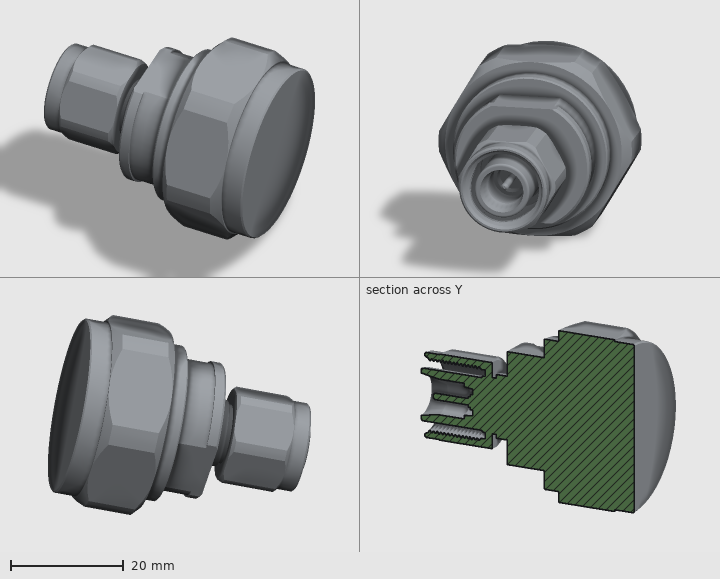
import cadquery as cq
import math


TUBE_R = 4.95
TUBE_ROUND = 0.45
MOUTH_R = 3.9
BORE_R = 3.25
BORE_TAPER_LENGTH = 3.6
BORE_FLOOR = 8.6
WELL_MOUTH_R = 2.62
WELL_FLOOR_R = 2.45
WELL_FLOOR = 10.3
PIN_TIP = 2.35
PIN_TIP_R = 0.25
PIN_R = 0.65
PIN_STEPS = ((1.05, 9.45), (1.45, 9.9))

NUT_FRONT = 0.7
NUT_SLEEVE_R = 7.95
NUT_SLEEVE_CHAMFER = 0.35
NUT_HEX_FRONT = 3.65
NUT_HEX_REAR = 14.35
NUT_HALF_FLATS = 8.05
NUT_CORNER_R = 8.77
NUT_REAR_BEVEL = 0.6
NUT_MOUTH_R = 7.25
NUT_MOUTH_DEPTH = 0.7
NUT_FLOOR = 12.9
THREAD_CREST_R = 6.35
THREAD_ROOT_R = 6.9
THREAD_START = 1.8
THREAD_PITCH = 0.75
THREAD_TURNS = 14

NECK_FRONT = 12.45
NECK_R = 5.3
COLLAR_FRONT = 15.1
COLLAR_R = 5.98
COLLAR_CHAMFER = 0.17

FLANGE_FRONT = 17.3
FLANGE_REAR = 19.35
FLANGE_R = 12.25
FLANGE_CHAMFER = 0.4
BODY_R = 11.85
BODY_HALF_FLATS = 10.55

RING_FRONT = 24.72
RING_R = 14.0
RING_CHAMFER = 0.25
BIG_HEX_FRONT = 27.7
BIG_HEX_REAR = 39.15
BIG_HALF_FLATS = 16.0
BIG_CORNER_R = 17.5
SLEEVE_R = 15.7
SLEEVE_CHAMFER = 0.25
REAR_END = 43.0


def revolved(profile):
    """Solid of revolution about X from a closed (x, radius) outline."""
    return cq.Workplane("XY").polyline(profile).close().revolve(360, (0, 0, 0), (1, 0, 0))


def cylinder(x_front, x_rear, radius):
    return cq.Workplane("YZ").workplane(offset=x_front).circle(radius).extrude(x_rear - x_front)


def beveled_hex(x_front, x_rear, half_flats, corner_r, front_bevel, rear_bevel):
    """Hexagon with flats facing +Z and -Z, its corners turned round and beveled at 45 degrees."""
    corner_diameter = 4 * half_flats / math.sqrt(3)
    prism = cq.Workplane("YZ").workplane(offset=x_front).polygon(6, corner_diameter).extrude(x_rear - x_front)
    envelope = revolved([
        (x_front, 0),
        (x_front, corner_r - front_bevel),
        (x_front + front_bevel, corner_r),
        (x_rear - rear_bevel, corner_r),
        (x_rear, corner_r - rear_bevel),
        (x_rear, 0),
    ])
    return prism.intersect(envelope)


def coupling_nut():
    sleeve = cylinder(NUT_FRONT, NUT_HEX_FRONT, NUT_SLEEVE_R).faces("<X").chamfer(NUT_SLEEVE_CHAMFER)
    hexagon = beveled_hex(
        NUT_HEX_FRONT, NUT_HEX_REAR, NUT_HALF_FLATS, NUT_CORNER_R,
        NUT_CORNER_R - NUT_SLEEVE_R, NUT_REAR_BEVEL,
    )
    return sleeve.union(hexagon).cut(nut_cavity())


def nut_cavity():
    """Tapered mouth, conical lead-in, ring-shaped thread grooves and a flat floor."""
    mouth_end = NUT_FRONT + NUT_MOUTH_DEPTH
    profile = [
        (NUT_FRONT, 0),
        (NUT_FRONT, NUT_MOUTH_R),
        (mouth_end, THREAD_ROOT_R),
        (THREAD_START, THREAD_CREST_R),
    ]
    for turn in range(THREAD_TURNS):
        groove_start = THREAD_START + turn * THREAD_PITCH
        profile.append((groove_start + THREAD_PITCH / 2, THREAD_ROOT_R))
        profile.append((groove_start + THREAD_PITCH, THREAD_CREST_R))
    profile.append((NUT_FLOOR, THREAD_CREST_R))
    profile.append((NUT_FLOOR, 0))
    return revolved(profile)


def socket_tube():
    base_bevel = NECK_R - TUBE_R
    tube = revolved([
        (0, 0),
        (0, TUBE_R),
        (NECK_FRONT - base_bevel, TUBE_R),
        (NECK_FRONT, NECK_R),
        (NECK_FRONT, 0),
    ])
    tube = tube.faces("<X").edges().fillet(TUBE_ROUND)
    bore = revolved([
        (0, 0),
        (0, MOUTH_R),
        (BORE_TAPER_LENGTH, BORE_R),
        (BORE_FLOOR, BORE_R),
        (BORE_FLOOR, WELL_MOUTH_R),
        (WELL_FLOOR, WELL_FLOOR_R),
        (WELL_FLOOR, 0),
    ])
    return tube.cut(bore).union(contact_pin())


def contact_pin():
    taper_end = PIN_TIP + PIN_R - PIN_TIP_R
    pin = revolved([
        (PIN_TIP, 0),
        (PIN_TIP, PIN_TIP_R),
        (taper_end, PIN_R),
        (WELL_FLOOR, PIN_R),
        (WELL_FLOOR, 0),
    ])
    for step_r, step_front in PIN_STEPS:
        pin = pin.union(cylinder(step_front, WELL_FLOOR, step_r))
    return pin


def neck_and_collar():
    neck = cylinder(NECK_FRONT, COLLAR_FRONT, NECK_R)
    collar = cylinder(COLLAR_FRONT, FLANGE_FRONT, COLLAR_R).faces("<X").chamfer(COLLAR_CHAMFER)
    return neck.union(collar)


def flatted_body():
    flange = cylinder(FLANGE_FRONT, FLANGE_REAR, FLANGE_R).faces("<X").chamfer(FLANGE_CHAMFER)
    body = flange.union(cylinder(FLANGE_REAR, RING_FRONT, BODY_R))
    length = RING_FRONT - FLANGE_FRONT
    flats = cq.Workplane("XY").box(length, 2 * FLANGE_R, 2 * BODY_HALF_FLATS)
    return body.intersect(flats.translate((FLANGE_FRONT + length / 2, 0, 0)))


def rear_section():
    ring = cylinder(RING_FRONT, BIG_HEX_FRONT, RING_R).faces("<X").chamfer(RING_CHAMFER)
    bevel = BIG_CORNER_R - BIG_HALF_FLATS
    hexagon = beveled_hex(BIG_HEX_FRONT, BIG_HEX_REAR, BIG_HALF_FLATS, BIG_CORNER_R, bevel, bevel)
    sleeve = cylinder(BIG_HEX_REAR, REAR_END, SLEEVE_R).faces(">X").chamfer(SLEEVE_CHAMFER)
    return ring.union(hexagon).union(sleeve)


result = (
    coupling_nut()
    .union(neck_and_collar())
    .union(socket_tube())
    .union(flatted_body())
    .union(rear_section())
)